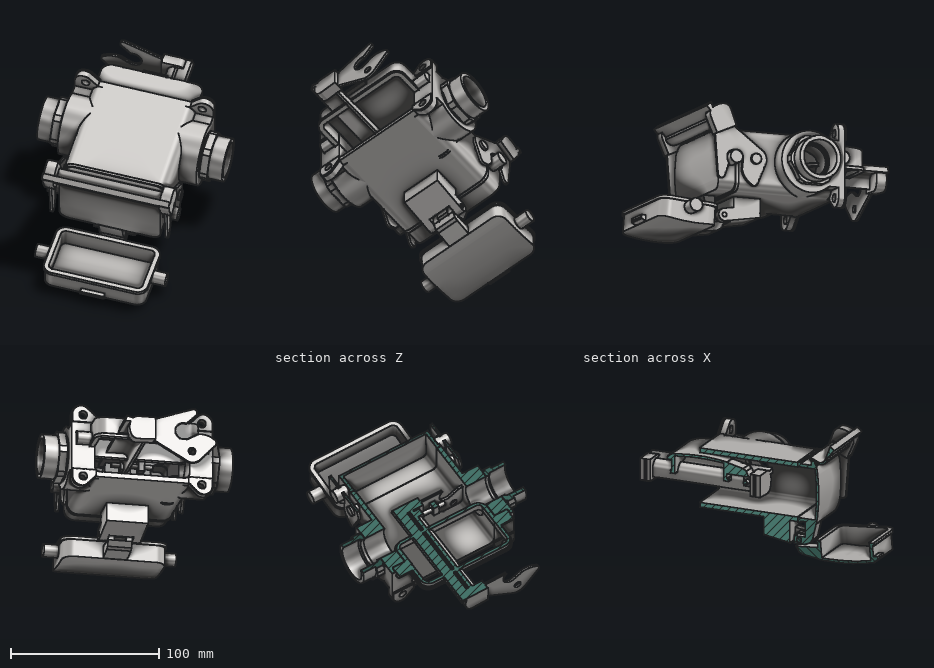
import cadquery as cq
import math


HOUSING_WIDTH = 72.8
HOUSING_HEIGHT = 42.6
HOUSING_FRONT_Y = -47.7
HOUSING_CORNER_RADIUS = 7.0
CAVITY_WIDTH = 65.5
CAVITY_HEIGHT = 35.4
CAVITY_CORNER_RADIUS = 3.5

FLANGE_FRONT_Y = 20.5
FLANGE_BACK_Y = 25.1
FLANGE_HALF_WIDTH = 48.6
LUG_BACK_Y = 26.3
LUG_HOLE_X = 41.0
LUG_HOLE_Z = 22.1
LUG_RADIUS = 6.2
LUG_ARC_Z = 22.6
LUG_SIDE_INSET = 0.4
LUG_HOLE_DIAMETER = 5.5
LUG_BASE_Z = 17.0

BOSS_BLOCK_HEIGHT = 32.2
BOSS_BORE_DIAMETER = 21.7

RIVET_Y = -37.5
RIVET_SHANK_DIAMETER = 5.0
RIVET_HEAD_DIAMETER = 7.0
RIVET_END_X = 43.1

GLAND_SPAN = 130.0
GLAND_NECK_DIAMETER = 31.0
GLAND_NECK_LENGTH = 1.0
GLAND_NUT_LENGTH = 5.5
NUT_FLATS = 32.2
NUT_CORNER_FLATS = 34.7
GLAND_TUBE_DIAMETER = 30.0
GLAND_END_X = GLAND_SPAN / 2
GLAND_BORE_DIAMETER = 24.2
GLAND_CONE_X = 52.3
GLAND_STEP_X = 51.1
GLAND_STEP_DIAMETER = 23.3

RIM_WIDTH = 72.8
RIM_LENGTH = 43.1
RIM_THICKNESS = 2.1
COVER_WIDTH = 71.0
COVER_LENGTH = 41.4
COVER_CORNER_RADIUS = 7.0
COVER_EDGE_HEIGHT = 14.0
COVER_CROWN_HEIGHT = 15.7
COVER_WALL = 2.7
COVER_ROOF = 2.1
COVER_EDGE_ROOF = 1.5
POCKET_CORNER_RADIUS = 3.5
COVER_PIN_H = 5.5
COVER_PIN_DIAMETER = 9.0
COVER_PIN_SPAN = 91.2
TAB_WIDTH = 16.6
TAB_V = 23.9
TAB_H = 9.5
TAB_TIP_H = 11.1
TAB_SHOULDER = (23.3, 12.2)
TAB_ROOT_H = 13.8

HINGE_H = 0.9
HINGE_V = -34.1
HINGE_PIN_DIAMETER = 3.2
ARM_WIDTH = 16.6
ARM_INNER_H = 5.3
KNUCKLE_HALF = 2.8
KNUCKLE_OVERHANG = 0.9
CENTRE_KNUCKLE_WIDTH = 8.1
EAR_RADIUS = 4.2
BRACKET_WIDTH = 28.6
BRACKET_SLOT_WIDTH = 17.0
BRACKET_BACK_Y = -22.3
BRACKET_EAR_Y = -41.9
BRACKET_EAR_TOP_Z = -28.6
BRACKET_BACK_Z = -34.1
EAR_TANGENT_SHIFT = 0.5
HINGE_Y = HOUSING_FRONT_Y - HINGE_H
OPEN_ANGLE = 85.0

PAD_OUTER = 44.5
PAD_THICKNESS = 7.5
PLATE_INNER = 39.6
PLATE_THICKNESS = 1.8
NOTCH_CENTRE = (5.5, 14.0)
NOTCH_RADIUS = 6.0
NOTCH_MOUTH_A = 3.7
HEAD_BASE = 25.8
HEAD_LOW_B = 5.7
HEAD_HIGH_B = 21.2
SHEET_THICKNESS = 1.8
SHEET_START = (30.0, 7.6)
SHEET_BEND_RADIUS = 5.8
SHEET_BEND_B = 13.5
GRIP_ROOT = (37.5, 18.5)
GRIP_CORNER = (45.5, 21.0)
GRIP_TIP = (46.7, 17.0)
LEVER_TILT = 66.5

REAR_COVER_Y = 25.5
REAR_LEVER_X = -25.6
REAR_LEVER_Z = -13.8
OVERALL_LENGTH = 176.8


def box(x_size, y_range, z_range):
    """Box centred on X, with given ranges along Y and Z."""
    return cq.Workplane("XY").box(
        x_size, y_range[1] - y_range[0], z_range[1] - z_range[0], centered=(True, False, False)
    ).translate((0, y_range[0], z_range[0]))


def x_cylinder(diameter, x_start, x_end, y=0.0, z=0.0):
    """Cylinder along X."""
    return cq.Workplane("YZ", origin=(x_start, y, z)).circle(diameter / 2).extrude(x_end - x_start)



def cover_profile(edge_height, crown_height, half_length):
    """Side profile of a crowned block, as (v, h) in the YZ plane."""
    return (
        cq.Workplane("YZ")
        .moveTo(-half_length, 0)
        .lineTo(-half_length, edge_height)
        .threePointArc((0, crown_height), (half_length, edge_height))
        .lineTo(half_length, 0)
        .close()
        .extrude(RIM_WIDTH, both=True)
    )


def crowned_block(width, length, corner_radius, edge_height, crown_height):
    """Rounded rectangle in plan, rising to a roof curved along v."""
    plan = cq.Workplane("XY").rect(width, length).extrude(crown_height).edges("|Z").fillet(corner_radius)
    return plan.intersect(cover_profile(edge_height, crown_height, length / 2))


def cover_arm():
    """Hinge arm reaching from the cover wall past the hinge axis."""
    wall_v = -COVER_LENGTH / 2
    points = [
        (wall_v + COVER_WALL, ARM_INNER_H),
        (wall_v + COVER_WALL, COVER_EDGE_HEIGHT),
        (wall_v, TAB_ROOT_H),
        (-32.7, 11.0),
        (-35.0, 9.4),
        (-37.0, ARM_INNER_H),
    ]
    return cq.Workplane("YZ").polyline(points).close().extrude(ARM_WIDTH / 2, both=True)


def knuckle(width):
    """Block around the hinge axis, joined to the arm."""
    h_low = HINGE_H - KNUCKLE_HALF - KNUCKLE_OVERHANG
    return box(width, (HINGE_V - KNUCKLE_HALF, HINGE_V + KNUCKLE_HALF), (h_low, ARM_INNER_H))


def cover(centre_knuckle):
    """Cover with its rim at Z=0, its roof up and its finger tab toward +Y."""
    rim = cq.Workplane("XY").rect(RIM_WIDTH, RIM_LENGTH).extrude(RIM_THICKNESS)
    rim = rim.edges("|Z").fillet(COVER_CORNER_RADIUS)
    shell = crowned_block(
        COVER_WIDTH, COVER_LENGTH, COVER_CORNER_RADIUS, COVER_EDGE_HEIGHT, COVER_CROWN_HEIGHT
    )
    pocket = crowned_block(
        COVER_WIDTH - 2 * COVER_WALL,
        COVER_LENGTH - 2 * COVER_WALL,
        POCKET_CORNER_RADIUS,
        COVER_EDGE_HEIGHT - COVER_EDGE_ROOF,
        COVER_CROWN_HEIGHT - COVER_ROOF,
    )
    pins = x_cylinder(COVER_PIN_DIAMETER, -COVER_PIN_SPAN / 2, COVER_PIN_SPAN / 2, 0, COVER_PIN_H)
    tab_root = COVER_LENGTH / 2 - COVER_WALL / 2
    tab = (
        cq.Workplane("YZ")
        .moveTo(tab_root, TAB_H)
        .lineTo(TAB_V, TAB_H)
        .lineTo(TAB_V, TAB_TIP_H)
        .lineTo(*TAB_SHOULDER)
        .lineTo(COVER_LENGTH / 2, TAB_ROOT_H)
        .lineTo(tab_root, TAB_ROOT_H)
        .close()
        .extrude(TAB_WIDTH / 2, both=True)
    )
    body = rim.union(shell).union(pins).union(tab).union(cover_arm()).cut(pocket)

    if centre_knuckle:
        hole = x_cylinder(HINGE_PIN_DIAMETER, -ARM_WIDTH, ARM_WIDTH, HINGE_V, HINGE_H)
        return body.union(knuckle(CENTRE_KNUCKLE_WIDTH)).cut(hole)
    hinge_pin = x_cylinder(HINGE_PIN_DIAMETER, -BRACKET_WIDTH / 2, BRACKET_WIDTH / 2, HINGE_V, HINGE_H)
    side_knuckles = knuckle(ARM_WIDTH).cut(knuckle(CENTRE_KNUCKLE_WIDTH))
    return body.union(side_knuckles).union(hinge_pin)


def on_housing_front(part):
    """Turn a cover from lying flat to standing against the housing front."""
    return part.rotate((0, 0, 0), (1, 0, 0), 90).translate((0, HOUSING_FRONT_Y, 0))



def lever_plate_outline(plane):
    """Side plate with a pivot end, a long tip and a notch for the cover pin."""
    notch_half = math.sqrt(NOTCH_RADIUS ** 2 - (NOTCH_CENTRE[0] - NOTCH_MOUTH_A) ** 2)
    return (
        cq.Workplane(plane)
        .moveTo(HEAD_BASE, HEAD_LOW_B)
        .lineTo(2.5, -7.8)
        .threePointArc((-1.5, -8.0), (-5.5, -6.0))
        .lineTo(-16.3, 5.5)
        .threePointArc((-17.0, 7.6), (-15.5, 9.5))
        .threePointArc((-9.9, 12.2), (-3.7, 12.4))
        .lineTo(NOTCH_MOUTH_A, NOTCH_CENTRE[1] - notch_half)
        .threePointArc(
            (NOTCH_CENTRE[0] + NOTCH_RADIUS, NOTCH_CENTRE[1]), (NOTCH_MOUTH_A, NOTCH_CENTRE[1] + notch_half)
        )
        .lineTo(-3.2, 26.3)
        .threePointArc((-3.4, 29.2), (-0.7, 30.5))
        .lineTo(HEAD_BASE, HEAD_HIGH_B)
        .close()
    )


def lever_head_outline(plane):
    """Rounded head at the end of each side plate."""
    return (
        cq.Workplane(plane)
        .moveTo(HEAD_BASE, HEAD_LOW_B)
        .lineTo(38.0, 5.0)
        .threePointArc((40.5, 5.7), (42.3, 7.2))
        .threePointArc((43.5, 11.1), (43.1, 16.6))
        .lineTo(41.4, 19.8)
        .threePointArc((39.5, 20.9), (37.3, HEAD_HIGH_B))
        .lineTo(HEAD_BASE, HEAD_HIGH_B)
        .close()
    )


def lever_sheet_outline(plane):
    """Bent sheet joining the two heads, thickening to a finger grip along its free edge."""
    bend_a = SHEET_START[0] + SHEET_BEND_RADIUS
    inner_radius = SHEET_BEND_RADIUS - SHEET_THICKNESS
    outer_mid = SHEET_BEND_RADIUS / math.sqrt(2)
    inner_mid = inner_radius / math.sqrt(2)
    return (
        cq.Workplane(plane)
        .moveTo(*SHEET_START)
        .lineTo(SHEET_START[0], SHEET_BEND_B)
        .threePointArc(
            (bend_a - outer_mid, SHEET_BEND_B + outer_mid), (bend_a, SHEET_BEND_B + SHEET_BEND_RADIUS)
        )
        .lineTo(*GRIP_ROOT)
        .lineTo(*GRIP_CORNER)
        .lineTo(*GRIP_TIP)
        .lineTo(bend_a, SHEET_BEND_B + inner_radius)
        .threePointArc(
            (bend_a - inner_mid, SHEET_BEND_B + inner_mid), (SHEET_START[0] + SHEET_THICKNESS, SHEET_BEND_B)
        )
        .lineTo(SHEET_START[0] + SHEET_THICKNESS, SHEET_START[1])
        .close()
    )


def lever(centre, along, across):
    """Lever with its pivot axis through centre; its head points along, its width runs across."""
    middle = cq.Plane(origin=centre, xDir=along, normal=across)

    def shifted(offset):
        return cq.Plane(origin=middle.toWorldCoords((0, 0, offset)), xDir=along, normal=across)

    body = lever_sheet_outline(middle).extrude(PAD_OUTER, both=True)
    for pad_start, plate_start in (
        (-PAD_OUTER, -PLATE_INNER - PLATE_THICKNESS),
        (PAD_OUTER - PAD_THICKNESS, PLATE_INNER),
    ):
        body = body.union(lever_head_outline(shifted(pad_start)).extrude(PAD_THICKNESS))
        body = body.union(lever_plate_outline(shifted(plate_start)).extrude(PLATE_THICKNESS))
    pivot_holes = cq.Workplane(middle).circle(RIVET_SHANK_DIAMETER / 2).extrude(PAD_OUTER, both=True)
    return body.cut(pivot_holes)



def lug_plate(outer_x, front_y, back_y):
    """Upper +X lug: straight outer side, rounded corner and a 45-degree side down to the housing."""
    slant = LUG_RADIUS / math.sqrt(2)
    arc_x = outer_x - LUG_RADIUS
    foot_x = arc_x - slant - (LUG_ARC_Z + slant - HOUSING_HEIGHT / 2)
    return (
        cq.Workplane("XZ", origin=(0, back_y, 0))
        .moveTo(outer_x, LUG_BASE_Z)
        .lineTo(outer_x, LUG_ARC_Z)
        .threePointArc((arc_x, LUG_ARC_Z + LUG_RADIUS), (arc_x - slant, LUG_ARC_Z + slant))
        .lineTo(foot_x, HOUSING_HEIGHT / 2)
        .lineTo(foot_x, LUG_BASE_Z)
        .close()
        .extrude(back_y - front_y)
    )


def mounting_flange():
    """Rear flange plate with four drilled corner lugs."""
    flange = box(
        2 * FLANGE_HALF_WIDTH, (FLANGE_FRONT_Y, FLANGE_BACK_Y), (-HOUSING_HEIGHT / 2, HOUSING_HEIGHT / 2)
    )
    lug = lug_plate(FLANGE_HALF_WIDTH, FLANGE_FRONT_Y, FLANGE_BACK_Y)
    lug = lug.union(lug_plate(FLANGE_HALF_WIDTH - LUG_SIDE_INSET, FLANGE_BACK_Y, LUG_BACK_Y))
    upper = lug.union(lug.mirror("YZ"))
    flange = flange.union(upper).union(upper.mirror("XY"))
    holes = (
        cq.Workplane("XZ", origin=(0, LUG_BACK_Y, 0))
        .rect(2 * LUG_HOLE_X, 2 * LUG_HOLE_Z, forConstruction=True)
        .vertices()
        .circle(LUG_HOLE_DIAMETER / 2)
        .extrude(LUG_BACK_Y - FLANGE_FRONT_Y)
    )
    return flange, holes


def hinge_bracket():
    """Bracket under the housing ending in two ears around the hinge axis."""
    top_z = -(HOUSING_HEIGHT + CAVITY_HEIGHT) / 4
    bracket = (
        cq.Workplane("YZ")
        .moveTo(BRACKET_BACK_Y, top_z)
        .lineTo(BRACKET_EAR_Y, top_z)
        .lineTo(BRACKET_EAR_Y, BRACKET_EAR_TOP_Z)
        .lineTo(HINGE_Y - EAR_TANGENT_SHIFT, HINGE_V + EAR_RADIUS)
        .threePointArc((HINGE_Y - EAR_RADIUS, HINGE_V), (HINGE_Y + EAR_TANGENT_SHIFT, HINGE_V - EAR_RADIUS))
        .lineTo(BRACKET_BACK_Y, BRACKET_BACK_Z)
        .close()
        .extrude(BRACKET_WIDTH / 2, both=True)
    )
    slot_reach = 2 * EAR_RADIUS
    slot = box(
        BRACKET_SLOT_WIDTH,
        (HINGE_Y - slot_reach, BRACKET_EAR_Y),
        (HINGE_V - slot_reach, HINGE_V + slot_reach),
    )
    pin_hole = x_cylinder(HINGE_PIN_DIAMETER, -BRACKET_WIDTH, BRACKET_WIDTH, HINGE_Y, HINGE_V)
    return bracket.cut(slot).cut(pin_hole)


def lever_rivets():
    """Headed pivots on both housing sides that carry the front lever."""
    head_start = PLATE_INNER + PLATE_THICKNESS
    root_x = (CAVITY_WIDTH + HOUSING_WIDTH) / 4
    rivet = x_cylinder(RIVET_SHANK_DIAMETER, root_x, RIVET_END_X, RIVET_Y)
    rivet = rivet.union(x_cylinder(RIVET_HEAD_DIAMETER, head_start, RIVET_END_X, RIVET_Y))
    return rivet.union(rivet.mirror("YZ"))


def make_housing(latch):
    """Tubular housing with cable bosses, flange, bracket and rivets, recessed around the rear latch."""
    body = box(
        HOUSING_WIDTH, (HOUSING_FRONT_Y, FLANGE_BACK_Y), (-HOUSING_HEIGHT / 2, HOUSING_HEIGHT / 2)
    ).edges("|Y").fillet(HOUSING_CORNER_RADIUS)
    bosses = x_cylinder(HOUSING_HEIGHT, -FLANGE_HALF_WIDTH, FLANGE_HALF_WIDTH)
    boss_block = box(
        2 * FLANGE_HALF_WIDTH, (0, FLANGE_FRONT_Y), (-BOSS_BLOCK_HEIGHT / 2, BOSS_BLOCK_HEIGHT / 2)
    )
    flange, lug_holes = mounting_flange()
    body = body.union(bosses).union(boss_block).union(flange).cut(lug_holes).union(hinge_bracket())
    cavity = box(
        CAVITY_WIDTH, (HOUSING_FRONT_Y, LUG_BACK_Y), (-CAVITY_HEIGHT / 2, CAVITY_HEIGHT / 2)
    ).edges("|Y").fillet(CAVITY_CORNER_RADIUS)
    cable_bore = x_cylinder(BOSS_BORE_DIAMETER, -FLANGE_HALF_WIDTH, FLANGE_HALF_WIDTH)
    return body.cut(cavity).cut(cable_bore).union(lever_rivets()).cut(latch)



def cable_gland(side):
    """Bored gland against the boss face; side is +1 for +X and -1 for -X."""
    nut_start = FLANGE_HALF_WIDTH + GLAND_NECK_LENGTH
    nut_end = nut_start + GLAND_NUT_LENGTH
    neck = x_cylinder(GLAND_NECK_DIAMETER, FLANGE_HALF_WIDTH, nut_start)
    nut_plane = cq.Workplane("YZ", origin=(nut_start, 0, 0))
    corner_cut = nut_plane.polygon(6, NUT_CORNER_FLATS, circumscribed=True).extrude(GLAND_NUT_LENGTH)
    nut = nut_plane.polygon(6, NUT_FLATS, circumscribed=True).extrude(GLAND_NUT_LENGTH)
    nut = nut.rotate((0, 0, 0), (1, 0, 0), 30).intersect(corner_cut)
    tube = x_cylinder(GLAND_TUBE_DIAMETER, nut_end, GLAND_END_X)
    bore = (
        cq.Workplane("XY")
        .moveTo(FLANGE_HALF_WIDTH, 0)
        .lineTo(FLANGE_HALF_WIDTH, BOSS_BORE_DIAMETER / 2)
        .lineTo(GLAND_STEP_X, BOSS_BORE_DIAMETER / 2)
        .lineTo(GLAND_STEP_X, GLAND_STEP_DIAMETER / 2)
        .lineTo(GLAND_CONE_X, GLAND_BORE_DIAMETER / 2)
        .lineTo(GLAND_END_X, GLAND_BORE_DIAMETER / 2)
        .lineTo(GLAND_END_X, 0)
        .close()
        .revolve(360, (0, 0, 0), (1, 0, 0))
    )
    gland = neck.union(nut).union(tube).cut(bore)
    return gland if side > 0 else gland.mirror("YZ")



closed_cover = on_housing_front(cover(centre_knuckle=True))
open_cover = on_housing_front(cover(centre_knuckle=False)).rotate(
    (0, HINGE_Y, HINGE_V), (1, HINGE_Y, HINGE_V), OPEN_ANGLE
)

tilt = math.radians(LEVER_TILT)
front_lever = lever((0, RIVET_Y, 0), (0, -math.cos(tilt), math.sin(tilt)), (1, 0, 0)).cut(closed_cover)

swing = math.radians(OPEN_ANGLE)
front_end_y = HINGE_Y - (TAB_TIP_H - HINGE_H) * math.cos(swing) - (TAB_V - HINGE_V) * math.sin(swing)
rear_lever_y = front_end_y + OVERALL_LENGTH - PAD_OUTER

rear_latch = cover(centre_knuckle=False).translate((0, REAR_COVER_Y, 0)).union(
    lever((REAR_LEVER_X, rear_lever_y, REAR_LEVER_Z), (1, 0, 0), (0, -1, 0))
)

housing = make_housing(rear_latch)
glands = [cable_gland(side) for side in (-1, 1)]

result = cq.Compound.makeCompound(
    [
        housing.val(),
        *[gland.val() for gland in glands],
        front_lever.val(),
        closed_cover.val(),
        open_cover.val(),
        rear_latch.val(),
    ]
)